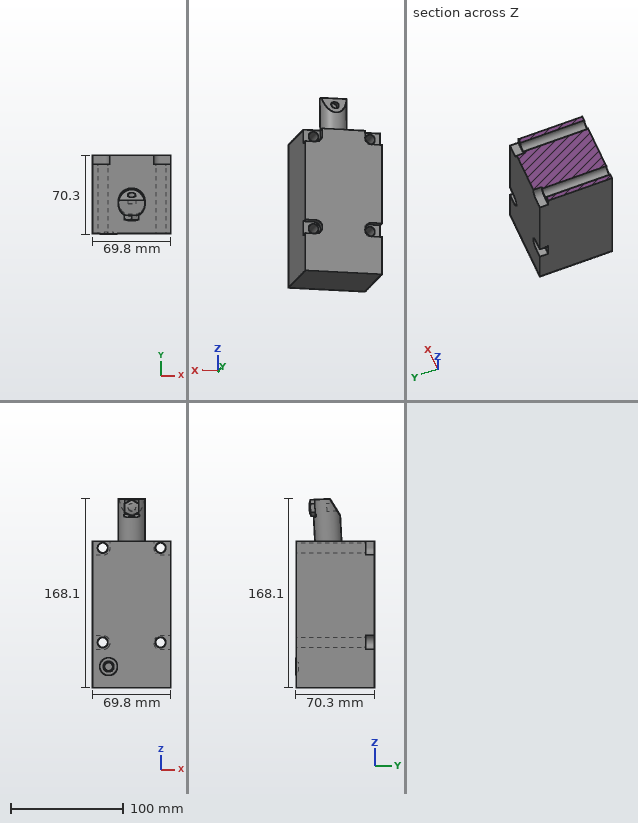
import cadquery as cq
import math

overall_height = 168.1
body_side = 69.8
body_height = 130.5
front_y = -body_side / 2
back_y = body_side / 2

hole_diameter = 8.9
hole_spacing_x = 51.5
hole_top_offset = 6.0
hole_spacing_z = 84.0
recess_radius = 6.2
recess_depth = 8.0

ring_x = -20.5
ring_z = 18.8
ring_outer_radius = 7.9
ring_inner_radius = 4.7
ring_height = 0.5
ring_floor_radius = 3.7
ring_floor_depth = 1.7

post_radius = 12.0
post_y = -6.4
post_lean = 3.0
bevel_start_height = 22.0
bevel_top_y = 3.4
lean_angle = math.radians(post_lean)
post_rise = overall_height - body_height
post_length = (post_rise - bevel_top_y * math.sin(lean_angle)) / math.cos(lean_angle)
post_root = 5.0

screw_height = 30.1
head_across_flats = 13.0
head_turn = 30.0
head_across_corners = head_across_flats / math.cos(math.pi / 6)
head_front_y = -15.5
head_dome_rise = 1.5
seat_y = -10.3
groove_height = 23.4
groove_radius = 1.43
groove_bottom_y = -9.67
bore_radius = 3.45
bore_floor_y = 0.0


def make_housing():
    body = cq.Workplane("XY").box(body_side, body_side, body_height, centered=(True, True, False))
    top_row_z = body_height - hole_top_offset
    for row_z in (top_row_z, top_row_z - hole_spacing_z):
        for side in (-1, 1):
            hole_x = side * hole_spacing_x / 2
            hole = (
                cq.Workplane("XZ", origin=(hole_x, back_y, row_z))
                .circle(hole_diameter / 2)
                .extrude(body_side)
            )
            body = body.cut(hole).cut(make_recess(hole_x, row_z, side, row_z == top_row_z))
    return body


def make_recess(hole_x, row_z, side, open_at_top):
    """Round-ended slot running out of the side wall; the top ones also run out of the top."""
    plane = cq.Workplane("XZ", origin=(hole_x, back_y, row_z))
    round_end = plane.circle(recess_radius).extrude(recess_depth)
    run_out = side * body_side / 2
    slot = plane.center(run_out / 2, 0).rect(body_side / 2, 2 * recess_radius).extrude(recess_depth)
    recess = round_end.union(slot)
    if open_at_top:
        corner = (
            plane.moveTo(-side * recess_radius, 0)
            .lineTo(run_out, 0)
            .lineTo(run_out, 2 * recess_radius)
            .lineTo(-side * recess_radius, 2 * recess_radius)
            .close()
            .extrude(recess_depth)
        )
        recess = recess.union(corner)
    return recess


def add_ring(body):
    """Rounded ring around a shallow tapered recess, revolved about the recess axis."""
    plane = cq.Workplane("XY", origin=(ring_x, front_y, ring_z))
    axis = ((0, 0, 0), (0, 1, 0))
    recess = (
        plane.lineTo(ring_inner_radius, 0)
        .lineTo(ring_floor_radius, ring_floor_depth)
        .lineTo(0, ring_floor_depth)
        .close()
        .revolve(360, *axis)
    )
    crest_radius = (ring_inner_radius + ring_outer_radius) / 2
    ring = (
        plane.moveTo(ring_inner_radius, 0)
        .threePointArc((crest_radius, -ring_height), (ring_outer_radius, 0))
        .lineTo(ring_outer_radius, ring_floor_depth)
        .lineTo(ring_floor_radius, ring_floor_depth)
        .close()
        .revolve(360, *axis)
    )
    return body.cut(recess).union(ring)


def make_post():
    post = cq.Workplane("XY").workplane(offset=-post_root).circle(post_radius).extrude(post_length + post_root)
    bevel = (
        cq.Workplane("YZ")
        .moveTo(bevel_top_y, post_length)
        .lineTo(post_radius, bevel_start_height)
        .lineTo(2 * post_radius, bevel_start_height)
        .lineTo(2 * post_radius, post_length)
        .close()
        .extrude(post_radius, both=True)
    )
    seat = cq.Workplane("XY").box(
        2 * post_radius, post_radius, post_length - groove_height, centered=(True, False, False)
    ).translate((0, seat_y - post_radius, groove_height))
    groove = (
        cq.Workplane("YZ")
        .center(groove_bottom_y - groove_radius, groove_height)
        .circle(groove_radius)
        .extrude(post_radius, both=True)
    )
    bore = (
        cq.Workplane("XZ", origin=(0, bore_floor_y, screw_height))
        .circle(bore_radius)
        .extrude(-post_radius)
    )
    return post.cut(bevel).cut(seat).cut(groove).cut(bore).union(make_screw_head())


def make_screw_head():
    """Hexagonal prism with corners up and down, faced by a spherical dome."""
    head = (
        cq.Workplane("XZ", origin=(0, seat_y, screw_height))
        .polygon(6, head_across_corners)
        .extrude(seat_y - head_front_y)
        .rotate((0, 0, screw_height), (0, 1, screw_height), head_turn)
    )
    corner_radius = head_across_corners / 2
    dome_radius = (corner_radius**2 + head_dome_rise**2) / (2 * head_dome_rise)
    dome = cq.Workplane("XY").sphere(dome_radius).translate((0, head_front_y + dome_radius, screw_height))
    return head.intersect(dome)


leaning_post = make_post().rotate((0, 0, 0), (1, 0, 0), post_lean).translate((0, post_y, body_height))
result = add_ring(make_housing()).union(leaning_post)